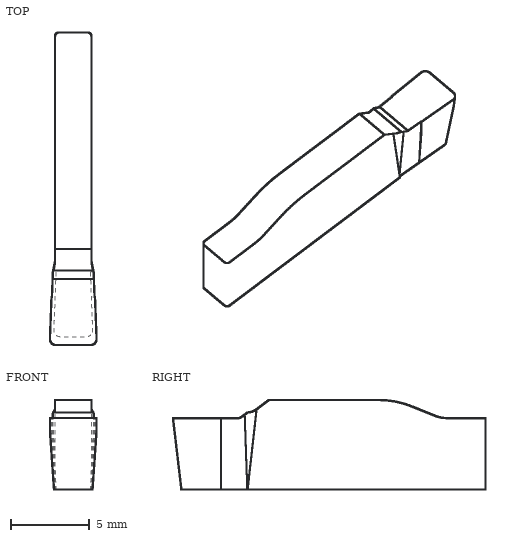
import cadquery as cq
import math

length = 20.05
height = 5.75
tip_width = 3.0
seat_height = 4.6

shank_width = 2.35
shank_start = 4.77
tail_radius = 0.25

tip_lean = 0.55
corner_radius = 0.4
side_taper = 0.038
side_draft = 0.25
land_bottom = 3.73
land_end = 3.09
tip_half_width = tip_width / 2 + side_taper * corner_radius

flank_start = 4.6
flank_end = 5.37
flank_bottom_end = 4.8
flank_top = 5.2

chip_ramp_start = 4.23
chip_ramp_foot = (4.35, 4.63)
chip_ridge = (4.8, 4.95)
chip_hollow_middle = (5.1, 5.01)
chip_hollow_end = (5.41, 5.2)
crown_start = 6.15
crown_end = 13.23
slope_start = 15.28
slope_end = 16.8
tail_start = 17.58


def head_half_width(y, inset=0.0):
    return tip_half_width - side_taper * y - inset


def tail_slope_angle():
    """Angle at which the two tangent arcs and the slope drop from crown to tail."""
    arcs_run = (slope_start - crown_end) + (tail_start - slope_end)
    slope_run = slope_end - slope_start
    drop = height - seat_height
    halving_steps = 50
    low, high = 0.0, math.pi / 3
    for _ in range(halving_steps):
        angle = (low + high) / 2
        if arcs_run * math.tan(angle / 2) + slope_run * math.tan(angle) < drop:
            low = angle
        else:
            high = angle
    return angle


def side_profile():
    """Outline of the whole part in the YZ plane, extruded across its width."""
    half_turn = math.tan(tail_slope_angle() / 2)
    slope_top = height - (slope_start - crown_end) * half_turn
    slope_bottom = seat_height + (tail_start - slope_end) * half_turn
    return (
        cq.Workplane("YZ")
        .moveTo(tip_lean, 0)
        .lineTo(0, seat_height)
        .lineTo(chip_ramp_start, seat_height)
        .lineTo(*chip_ramp_foot)
        .lineTo(*chip_ridge)
        .threePointArc(chip_hollow_middle, chip_hollow_end)
        .lineTo(crown_start, height)
        .lineTo(crown_end, height)
        .tangentArcPoint((slope_start, slope_top), relative=False)
        .lineTo(slope_end, slope_bottom)
        .tangentArcPoint((tail_start, seat_height), relative=False)
        .lineTo(length, seat_height)
        .lineTo(length, 0)
        .close()
        .extrude(tip_width, both=True)
    )


def mirrored_wire(right_side, z):
    """Closed wire through the right-hand points and their mirror images."""
    left_side = [(-x, y) for x, y in reversed(right_side)]
    return cq.Wire.makePolygon([cq.Vector(x, y, z) for x, y in right_side + left_side], close=True)


def tip_section(z, inset):
    """Horizontal section of the head front with its two tip corners rounded."""
    tip_y = tip_lean * (1 - z / seat_height)
    right_side = [
        (head_half_width(tip_y, inset), tip_y),
        (head_half_width(land_end, inset), land_end),
    ]
    wire = mirrored_wire(right_side, z)
    tip_corners = [v for v in wire.Vertices() if abs(v.Y - tip_y) < land_end / 2]
    return wire.fillet2D(corner_radius, tip_corners)


def head_front():
    lower = cq.Solid.makeLoft([tip_section(0, side_draft), tip_section(land_bottom, 0)], True)
    land = cq.Solid.makeLoft([tip_section(land_bottom, 0), tip_section(seat_height, 0)], True)
    return cq.Workplane(lower).union(cq.Workplane(land))


def head_rear():
    """Drafted rear of the head, ending in flanks that run into the shank sides."""
    bottom = [
        (head_half_width(land_end, side_draft), land_end),
        (head_half_width(shank_start, side_draft), shank_start),
        (shank_width / 2, flank_bottom_end),
    ]
    top = [
        (head_half_width(land_end), land_end),
        (head_half_width(flank_start), flank_start),
        (shank_width / 2, flank_end),
    ]
    return cq.Workplane(cq.Solid.makeLoft([mirrored_wire(bottom, 0), mirrored_wire(top, flank_top)], True))


def shank():
    return (
        cq.Workplane("XY")
        .box(shank_width, length - shank_start, height, centered=(True, False, False))
        .translate((0, shank_start, 0))
        .edges("|Z and >Y")
        .fillet(tail_radius)
    )


body = shank().union(head_rear()).intersect(side_profile())
result = body.union(head_front())